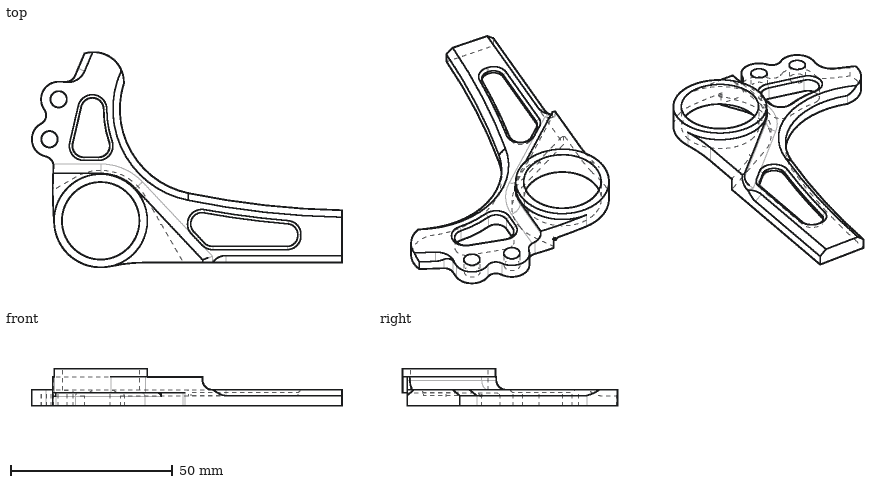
import cadquery as cq
import math


arm_thickness = 5.0
boss_top = 9.0
ring_top = 11.5
recess_height = 4.0

ring_radius = 14.5
bore_radius = 12.0

pin_hole_radius = 2.5
lobe_radius = 5.5
upper_lobe = (-13.05, 37.72)
lower_lobe = (-15.9, 25.32)
lobe_blend_radius = 3.0

head_centre = (-2.2, 42.95)
head_radius = 9.46
neck_angle = math.radians(67)
neck_corner = (-8.75, upper_lobe[1] + lobe_radius)
neck_blend_radius = 3.0

sweep_centre = (32.6, 34.66)
sweep_radius = 26.6
arm_curve_radius = 261.5
sweep_end_angle = math.radians(258.4)

overall_length = 96.42
arm_tip_x = lower_lobe[0] - lobe_radius + overall_length
arm_bottom_y = -13.0

flank_radius = 130.0
flank_start_angle = math.radians(184.75)
underside_blend_radius = 50.0

boss_radius = 14.73
boss_slope_angle = math.radians(43.3)
boss_end_x = 31.67
boss_cove_radius = 3.0

recess_radius = 15.75
recess_fillet_radius = 1.0
recess_left_angle = math.radians(120)
recess_right_angle = math.radians(30)
recess_mouth_radius = 0.6
recess_fillet_end_y = -1.0

chamfer_angle = math.radians(40)
edge_chamfer_width = 2.2
arm_chamfer_end_radius = 5.0
neck_chamfer_end_radius = 5.8
arm_chamfer_start_x = 38.9
neck_chamfer_start = 4.5

opening_wall = 5.1
rim_chamfer_width = 1.0
window_bottom_y = 19.75
window_left_point = (-7.25, 30.0)
window_left_angle = math.radians(76.9)
window_corner_radius = 3.5
pocket_depth = 1.7
pocket_bottom_y = -7.95
pocket_end_x = 61.2
pocket_corner_radius = 3.5
pocket_end_radius = 3.3

margin = 20.0
far_out = 40.0
selection_reach = 1.0


def polar(centre, radius, angle):
    """Point at a distance and direction from a centre."""
    return (centre[0] + radius * math.cos(angle), centre[1] + radius * math.sin(angle))


def angle_to(centre, point):
    """Direction from a centre to a point."""
    return math.atan2(point[1] - centre[1], point[0] - centre[0])


def meet_of_circles(c1, r1, c2, r2):
    """Meeting point of two circles on the left of the line from c1 to c2."""
    gap = math.dist(c1, c2)
    along = (gap**2 + r1**2 - r2**2) / (2 * gap)
    aside = math.sqrt(r1**2 - along**2)
    direction = angle_to(c1, c2)
    return polar(polar(c1, along, direction), aside, direction + math.pi / 2)


def arc_to(path, centre, radius, end, clockwise=False):
    """Continue a path along a circle to the end point."""
    start_angle = angle_to(centre, path.val().endPoint().toTuple())
    turn = (angle_to(centre, end) - start_angle) % (2 * math.pi)
    if clockwise:
        turn -= 2 * math.pi
    return path.threePointArc(polar(centre, radius, start_angle + turn / 2), end)


def line_circle_exit(point, angle, centre, radius):
    """Where a ray that starts inside or before a circle leaves it."""
    dx = centre[0] - point[0]
    dy = centre[1] - point[1]
    along = dx * math.cos(angle) + dy * math.sin(angle)
    aside = dy * math.cos(angle) - dx * math.sin(angle)
    return polar(point, along + math.sqrt(radius**2 - aside**2), angle)


def line_y(radius, facing, x):
    """Y at x of the line that touches the circle around the bore on its facing side."""
    return (radius - x * math.cos(facing)) / math.sin(facing)


def line_x(radius, facing, y):
    """X at y of the line that touches the circle around the bore on its facing side."""
    return (radius - y * math.sin(facing)) / math.cos(facing)


origin = (0.0, 0.0)
sweep_end = polar(sweep_centre, sweep_radius, sweep_end_angle)
arm_curve_centre = polar(sweep_centre, sweep_radius - arm_curve_radius, sweep_end_angle)


def arm_curve_y(x):
    """Y of the arm's curved side at x."""
    return arm_curve_centre[1] - math.sqrt(arm_curve_radius**2 - (x - arm_curve_centre[0]) ** 2)


def silhouette(height):
    """The whole plan outline, extruded up from the underside."""
    head_start = meet_of_circles(head_centre, head_radius, sweep_centre, sweep_radius)
    head_end = line_circle_exit(neck_corner, neck_angle, head_centre, head_radius)

    neck_setback = neck_blend_radius * math.tan(neck_angle / 2)
    neck_start = polar(neck_corner, neck_setback, neck_angle)
    neck_end = (neck_corner[0] - neck_setback, neck_corner[1])
    neck_centre = (neck_end[0], neck_end[1] + neck_blend_radius)

    lobe_reach = lobe_radius + lobe_blend_radius
    notch_centre = meet_of_circles(lower_lobe, lobe_reach, upper_lobe, lobe_reach)
    notch_start = polar(upper_lobe, lobe_radius, angle_to(upper_lobe, notch_centre))
    notch_end = polar(lower_lobe, lobe_radius, angle_to(lower_lobe, notch_centre))

    flank_end = polar(origin, ring_radius, flank_start_angle)
    flank_centre = polar(origin, ring_radius - flank_radius, flank_start_angle)
    flank_reach = flank_radius + lobe_blend_radius
    root_centre = meet_of_circles(flank_centre, flank_reach, lower_lobe, lobe_reach)
    root_start = polar(lower_lobe, lobe_radius, angle_to(lower_lobe, root_centre))
    root_end = polar(flank_centre, flank_radius, angle_to(flank_centre, root_centre))

    blend_y = arm_bottom_y - underside_blend_radius
    blend_x = math.sqrt((ring_radius + underside_blend_radius) ** 2 - blend_y**2)
    blend_centre = (blend_x, blend_y)
    blend_start = polar(origin, ring_radius, angle_to(origin, blend_centre))

    path = cq.Workplane("XY").moveTo(arm_tip_x, arm_bottom_y)
    path = path.lineTo(arm_tip_x, arm_curve_y(arm_tip_x))
    path = arc_to(path, arm_curve_centre, arm_curve_radius, sweep_end, clockwise=True)
    path = arc_to(path, sweep_centre, sweep_radius, head_start, clockwise=True)
    path = arc_to(path, head_centre, head_radius, head_end)
    path = path.lineTo(*neck_start)
    path = arc_to(path, neck_centre, neck_blend_radius, neck_end, clockwise=True)
    path = path.lineTo(upper_lobe[0], neck_end[1])
    path = arc_to(path, upper_lobe, lobe_radius, notch_start)
    path = arc_to(path, notch_centre, lobe_blend_radius, notch_end, clockwise=True)
    path = arc_to(path, lower_lobe, lobe_radius, root_start)
    path = arc_to(path, root_centre, lobe_blend_radius, root_end, clockwise=True)
    path = arc_to(path, flank_centre, flank_radius, flank_end)
    path = arc_to(path, origin, ring_radius, blend_start)
    path = arc_to(path, blend_centre, underside_blend_radius, (blend_x, arm_bottom_y), clockwise=True)
    return path.close().extrude(height)


def chamfer_depth(width):
    """Height of a chamfer of the given width in plan."""
    return width * math.tan(chamfer_angle)


def curved_edge_chamfer(centre, radius):
    """Cutter for the top edge of a concave arc: a cone around the arc's centre."""
    depth = chamfer_depth(edge_chamfer_width)
    base = cq.Vector(centre[0], centre[1], arm_thickness - depth)
    return cq.Workplane(cq.Solid.makeCone(radius, radius + edge_chamfer_width, depth, base))


def straight_edge_chamfer(start, angle, outward, end_radius):
    """Cutter for the top edge along a ray, with a conical run-out where it starts."""
    depth = chamfer_depth(edge_chamfer_width)
    low_radius = end_radius - edge_chamfer_width
    axis = polar(start, low_radius, outward)
    base = cq.Vector(axis[0], axis[1], arm_thickness - depth)
    direction = cq.Vector(math.cos(angle), math.sin(angle), 0)
    inward = cq.Vector(-math.cos(outward), -math.sin(outward), 0)
    up = cq.Vector(0, 0, depth)
    corners = [base, base + inward * low_radius, base + inward * end_radius + up, base + up]
    profile = cq.Wire.makePolygon(corners, close=True)
    run = cq.Solid.extrudeLinear(profile, [], direction * overall_length)
    cone = cq.Solid.makeCone(low_radius, end_radius, depth, base)
    return cq.Workplane(run).union(cq.Workplane(cone))


def chamfer_edges(plate):
    """Chamfer the sweep, both sides of the arm and the neck."""
    depth = chamfer_depth(edge_chamfer_width)
    arm_length = arm_tip_x - sweep_end[0] + margin
    arm_zone = cq.Workplane().box(arm_length, 2 * margin, depth, centered=(False, True, False))
    arm_zone = arm_zone.translate((sweep_end[0], sweep_end[1], arm_thickness - depth))
    sweep = curved_edge_chamfer(sweep_centre, sweep_radius).cut(arm_zone)
    arm = curved_edge_chamfer(arm_curve_centre, arm_curve_radius).intersect(arm_zone)
    arm_start = (arm_chamfer_start_x, arm_bottom_y)
    arm_bottom = straight_edge_chamfer(arm_start, 0.0, -math.pi / 2, arm_chamfer_end_radius)
    neck_start = polar(neck_corner, neck_chamfer_start, neck_angle)
    neck_outward = neck_angle + math.pi / 2
    neck = straight_edge_chamfer(neck_start, neck_angle, neck_outward, neck_chamfer_end_radius)
    return plate.cut(sweep).cut(arm).cut(arm_bottom).cut(neck)


def round_corners(prism, axis, low, high, radius):
    """Round the upright edges that lie between two limits along X or Y."""
    far = 2 * overall_length
    box = {"X": ((low, -far), (high, far)), "Y": ((-far, low), (far, high))}[axis]
    selector = cq.selectors.BoxSelector((*box[0], -far), (*box[1], far))
    return prism.edges("|Z").edges(selector).fillet(radius)


def window_prism(bottom_z):
    """Three-sided opening whose inner side follows the sweep."""
    inner_radius = sweep_radius + opening_wall
    inner_end = (sweep_centre[0] - inner_radius, sweep_centre[1])
    half_span = math.sqrt(inner_radius**2 - (sweep_centre[1] - window_bottom_y) ** 2)

    def left_x(y):
        return window_left_point[0] + (y - window_left_point[1]) / math.tan(window_left_angle)

    top_radius = (inner_end[0] - left_x(inner_end[1])) / (1 + 1 / math.sin(window_left_angle))
    top_centre = (inner_end[0] - top_radius, inner_end[1])
    top_end = polar(top_centre, top_radius, window_left_angle + math.pi / 2)

    path = cq.Workplane("XY", origin=(0, 0, bottom_z)).moveTo(left_x(window_bottom_y), window_bottom_y)
    path = path.lineTo(sweep_centre[0] - half_span, window_bottom_y)
    path = arc_to(path, sweep_centre, inner_radius, inner_end, clockwise=True)
    path = arc_to(path, top_centre, top_radius, top_end)
    prism = path.close().extrude(arm_thickness - bottom_z)
    return round_corners(prism, "Y", -overall_length, window_left_point[1], window_corner_radius)


def pocket_prism(bottom_z):
    """Opening between the boss cove, the curved side of the arm and its straight side."""
    reach = boss_radius + boss_cove_radius + rim_chamfer_width
    corners = [
        (line_x(reach, boss_slope_angle, pocket_bottom_y), pocket_bottom_y),
        (pocket_end_x, pocket_bottom_y),
        (pocket_end_x, margin),
        (line_x(reach, boss_slope_angle, margin), margin),
    ]
    height = arm_thickness - bottom_z
    curve = cq.Workplane("XY", origin=(*arm_curve_centre, bottom_z))
    curve = curve.circle(arm_curve_radius + opening_wall).extrude(height)
    prism = cq.Workplane("XY", origin=(0, 0, bottom_z)).polyline(corners).close().extrude(height)
    prism = prism.cut(curve).solids("<Y")
    middle_x = (corners[0][0] + pocket_end_x) / 2
    prism = round_corners(prism, "X", middle_x, overall_length, pocket_end_radius)
    return round_corners(prism, "X", -overall_length, middle_x, pocket_corner_radius)


def cut_opening(plate, opening, bottom_z):
    """Cut an opening down to the given height and chamfer its rim."""
    depth = chamfer_depth(rim_chamfer_width)
    rim = opening(arm_thickness - depth).faces("<Z").wires().toPending()
    rim = rim.extrude(depth, taper=math.degrees(chamfer_angle) - 90, combine=False)
    return plate.cut(opening(bottom_z)).cut(rim)


def ring_region(radius, left_angle, right_angle, end_x, height):
    """Prism around the bore: an arc with tangent lines running off to the left and to the right.

    The two angles give the directions in which the lines face, and the right line ends at end_x.
    """
    left_y = line_y(radius, left_angle, -far_out)
    end_y = line_y(radius, right_angle, end_x)
    path = cq.Workplane("XY").moveTo(-far_out, -far_out).lineTo(-far_out, left_y)
    path = path.lineTo(*polar(origin, radius, left_angle))
    path = arc_to(path, origin, radius, polar(origin, radius, right_angle), clockwise=True)
    path = path.lineTo(end_x, end_y).lineTo(end_x, -far_out)
    return path.close().extrude(height)


def boss_with_cove():
    """Boss whose wall meets the arm in a cove, not yet trimmed to the outline."""
    region = ring_region(boss_radius, math.pi / 2, boss_slope_angle, boss_end_x, boss_top)
    size = 4 * far_out
    ground = cq.Workplane().box(size, size, arm_thickness, centered=(True, True, False))
    wall_foot = cq.selectors.BoxSelector(
        (selection_reach - far_out, selection_reach - far_out, arm_thickness - selection_reach),
        (far_out, far_out, arm_thickness + selection_reach),
    )
    body = ground.union(region)
    return body.edges(wall_foot).fillet(boss_cove_radius).cut(ground)


def edges_near(point):
    """Selector for edges whose middle lies within a square around a point in plan."""
    low = (point[0] - selection_reach, point[1] - selection_reach, -margin)
    high = (point[0] + selection_reach, point[1] + selection_reach, margin)
    return cq.selectors.BoxSelector(low, high)


def recess():
    """Clearance under the ring, open to the left and to the front, with rounded mouth edges."""
    end_x = line_x(recess_radius, recess_right_angle, -far_out / 2)
    region = ring_region(recess_radius, recess_left_angle, recess_right_angle, end_x, recess_height)
    filleted = region.faces(">Z").edges().fillet(recess_fillet_radius)
    front = cq.Workplane().box(2 * far_out, far_out, recess_height, centered=(True, False, False))
    front = front.translate((0, recess_fillet_end_y - far_out, 0))

    foot = silhouette(recess_height).cut(region)
    left_mouth = (-ring_radius, line_y(recess_radius, recess_left_angle, -ring_radius))
    front_mouth = (line_x(recess_radius, recess_right_angle, arm_bottom_y), arm_bottom_y)
    mouth = edges_near(left_mouth) + edges_near(front_mouth)
    mouth_corners = foot.cut(foot.edges("|Z").edges(mouth).fillet(recess_mouth_radius))
    return filleted.union(region.intersect(front)).union(mouth_corners)


plate = chamfer_edges(silhouette(arm_thickness))
plate = cut_opening(plate, window_prism, 0)
plate = cut_opening(plate, pocket_prism, arm_thickness - pocket_depth)

boss = boss_with_cove().intersect(silhouette(boss_top))
ring = cq.Workplane().circle(ring_radius).extrude(ring_top)
bore = cq.Workplane().circle(bore_radius).extrude(ring_top)
pin_holes = cq.Workplane().pushPoints([upper_lobe, lower_lobe])
pin_holes = pin_holes.circle(pin_hole_radius).extrude(arm_thickness)

body = plate.union(boss.cut(ring)).cut(ring).union(ring)
result = body.cut(recess()).cut(bore).cut(pin_holes)